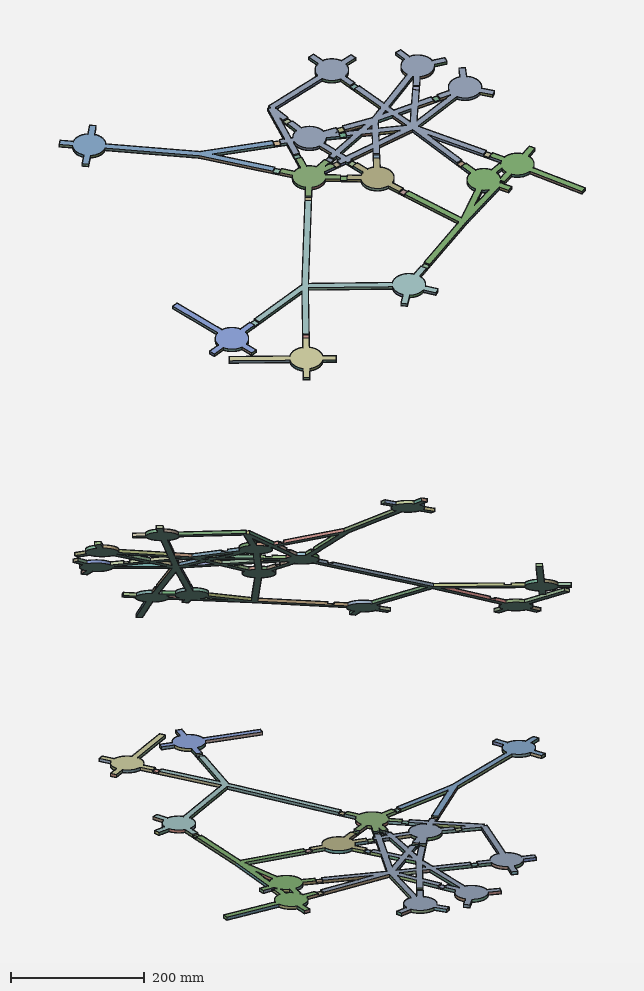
import cadquery as cq
import math

thickness = 5.0
hub_radius = 25.0
arm_half_width = 5.0
stub_reach = 45.0
long_reach = 115.5
notch_distance = 50.0
notch_length = 2 * arm_half_width
notch_depth = thickness / 2

hubs = {
    "north_west": (-48.0, 309.0),
    "north": (73.0, 353.0),
    "north_east": (155.0, 326.0),
    "mid_north": (-37.0, 151.0),
    "mid_south": (-12.5, 63.5),
    "mid_east": (86.0, 89.5),
    "east_inner": (240.0, 129.5),
    "east_outer": (279.0, 177.5),
    "south_east": (199.0, -133.5),
    "south_west": (-20.5, -326.0),
    "south": (99.0, -338.0),
    "west": (-348.5, 43.0),
}

joints = {
    "west_elbow": (-111.5, 200.0),
    "upper_right": (105.0, 217.0),
    "upper_left": (45.5, 217.5),
    "west_fork": (-184.0, 69.0),
    "south_fork": (51.0, -179.0),
    "east_fork": (237.0, 28.0),
}

notched_arms = [
    ("north_west", "upper_right"),
    ("north", "upper_right"),
    ("north_east", "upper_left"),
    ("mid_north", "west_elbow"),
    ("mid_north", "upper_left"),
    ("mid_north", "upper_right"),
    ("mid_north", "west_fork"),
    ("mid_south", "west_elbow"),
    ("mid_south", "upper_right"),
    ("mid_south", "upper_left"),
    ("mid_south", "west_fork"),
    ("mid_south", "south_fork"),
    ("mid_east", "mid_north"),
    ("mid_east", "mid_south"),
    ("mid_east", "upper_left"),
    ("mid_east", "east_fork"),
    ("east_inner", "upper_right"),
    ("east_outer", "upper_right"),
    ("east_outer", "east_fork"),
    ("south_east", "east_fork"),
    ("south_west", "south_fork"),
    ("south", "south_fork"),
]

plain_arms = [
    ("north_west", "west_elbow"),
    ("north", "upper_left"),
    ("north_east", "upper_right"),
    ("east_inner", "east_fork"),
    ("south_east", "south_fork"),
    ("west", "west_fork"),
]

stub_angles = {
    "north_west": (149.9, 59.7),
    "north": (146.9, 34.6),
    "north_east": (111.7, -0.9),
    "east_inner": (-11.8, 67.6),
    "east_outer": (76.3,),
    "south_east": (-3.3, -83.0),
    "south_west": (-26.5, -116.2),
    "south": (16.5, -73.5),
    "west": (99.3, 189.2, -81.5),
}
long_angles = {
    "east_outer": (-14.8,),
    "south_west": (153.8,),
    "south": (196.9,),
}


def arm(start, length, angle, notched=False):
    """Straight bar from start along angle, with an optional notch across its top face."""
    bar = cq.Workplane("XY").box(length, 2 * arm_half_width, thickness, centered=(False, True, False))
    if notched:
        notch = cq.Workplane("XY").box(
            notch_length, 2 * arm_half_width, notch_depth, centered=(True, True, False)
        )
        bar = bar.cut(notch.translate((notch_distance, 0, thickness - notch_depth)))
    return bar.rotate((0, 0, 0), (0, 0, 1), angle).translate((*start, 0))


def linking_arm(start_name, end_name, notched):
    """Arm running from one hub centre to another hub or joint."""
    start = nodes[start_name]
    end = nodes[end_name]
    run_x = end[0] - start[0]
    run_y = end[1] - start[1]
    return arm(start, math.hypot(run_x, run_y), math.degrees(math.atan2(run_y, run_x)), notched)


nodes = {**hubs, **joints}

frame = cq.Workplane("XY").pushPoints(list(hubs.values())).circle(hub_radius).extrude(thickness)

for hub, target in notched_arms:
    frame = frame.union(linking_arm(hub, target, notched=True))
for hub, target in plain_arms:
    frame = frame.union(linking_arm(hub, target, notched=False))

for reach, angles_by_hub in ((stub_reach, stub_angles), (long_reach, long_angles)):
    for hub, angles in angles_by_hub.items():
        for angle in angles:
            frame = frame.union(arm(hubs[hub], reach, angle))

result = frame